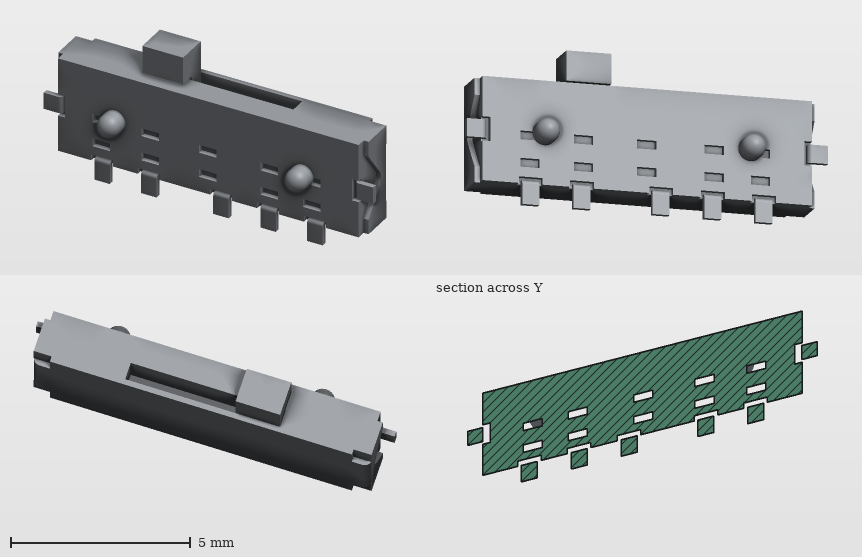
import cadquery as cq


sheet = 0.16
cover_back = 1.45
cover_width = 9.89
body_width = cover_width - 2 * sheet
body_depth = cover_back - sheet
body_height = 3.0
mid_z = 1.49
cover_bend_radius = 0.22
bend_height = 1.84
relief_width = 0.52
flap_setback = 0.28
notch_half_height = 1.03
notch_depth = 0.8
notch_tip_radius = 0.32

slot_length = 4.54
slot_width = 0.5
slot_depth = 1.0
knob_width = 1.3
knob_height = 1.0
knob_clearance = 0.13

peg_diameter = 0.7
peg_spacing = 5.98
peg_length = 0.65

terminal_centers = (-3.39, -1.9, 0.4, 1.9, 3.39)
terminal_width = 0.49
terminal_length = 0.6
terminal_bend = 0.1
lug_span = 10.5
lug_bend = 0.13
lug_width = 0.52
recess_width = 0.69
recess_height = 0.19
lug_recess_length = 0.22

window_centers = (-3.41, -1.86, -0.02, 1.94, 3.29)
window_levels = (0.6, 1.39)
window_width = 0.56
window_height = 0.25
window_depth = 0.16


def block(x_range, y_range, z_range):
    """Box spanning the given (low, high) ranges."""
    (x0, x1), (y0, y1), (z0, z1) = x_range, y_range, z_range
    return cq.Workplane("XY").box(x1 - x0, y1 - y0, z1 - z0, centered=False).translate((x0, y0, z0))


def around(center, size):
    """Range of the given size centred on a position."""
    return (center - size / 2, center + size / 2)


def mirrored(solid):
    """A solid on one side together with its mirror image in X."""
    return solid.union(solid.mirror("YZ"))


def make_body():
    """Body with the actuator slot, contact windows and recesses."""
    body = block(around(0, body_width), (0, body_depth), (0, body_height))
    slot = block(
        around(0, slot_length),
        (body_depth - slot_width, body_depth),
        (body_height - slot_depth, body_height),
    )
    body = body.cut(slot)
    for x in window_centers:
        for z in window_levels:
            body = body.cut(block(around(x, window_width), (0, window_depth), around(z, window_height)))
    for x in terminal_centers:
        body = body.cut(block(around(x, recess_width), (0, sheet), (0, recess_height)))
    lug_recess = block(
        (body_width / 2 - lug_recess_length, body_width / 2),
        (0, sheet),
        around(mid_z, recess_width),
    )
    return body.cut(mirrored(lug_recess))


def make_cover():
    """Sheet cover over the back and both ends of the body."""
    half_width = cover_width / 2
    half_body = body_width / 2
    shell = block(around(0, cover_width), (flap_setback, cover_back), (0, body_height))
    shell = shell.cut(block(around(0, body_width), (0, body_depth), (0, body_height)))

    bend_low, bend_high = around(mid_z, bend_height)
    for z_range in ((0, bend_low), (bend_high, body_height)):
        relief = block((half_width - relief_width, half_width), (body_depth, cover_back), z_range)
        shell = shell.cut(mirrored(relief))

    bend_corner = block(
        (half_width - cover_bend_radius, half_width),
        (cover_back - cover_bend_radius, cover_back),
        (bend_low, bend_high),
    )
    bend_axis = (half_width - cover_bend_radius, cover_back - cover_bend_radius, bend_low)
    bend = cq.Workplane("XY", origin=bend_axis).circle(cover_bend_radius).extrude(bend_height)
    shell = shell.cut(mirrored(bend_corner.cut(bend)))

    notch = (
        cq.Workplane("YZ", origin=(half_body, 0, 0))
        .moveTo(flap_setback, mid_z - notch_half_height)
        .lineTo(flap_setback + notch_depth, mid_z)
        .lineTo(flap_setback, mid_z + notch_half_height)
        .close()
        .extrude(sheet)
        .edges("|X and >Y")
        .fillet(notch_tip_radius)
    )
    return shell.cut(mirrored(notch))


def make_knob():
    """Knob overhanging the body top, with its stem at the -X end of the slot."""
    knob_top = body_height + knob_height
    knob_x = (-slot_length / 2, -slot_length / 2 + knob_width)
    head = block(knob_x, (flap_setback, body_depth), (body_height + knob_clearance, knob_top))
    stem = block(knob_x, (body_depth - slot_width, body_depth), (body_height - slot_depth, knob_top))
    return head.union(stem)


def make_peg():
    """Round-ended peg on the +X side."""
    radius = peg_diameter / 2
    shank_end = radius - peg_length
    peg = (
        cq.Workplane("XY")
        .lineTo(radius, 0)
        .lineTo(radius, shank_end)
        .radiusArc((0, -peg_length), radius)
        .close()
        .revolve(360, (0, 0), (0, 1))
    )
    return peg.translate((peg_spacing / 2, 0, mid_z))


def make_tab(length, width, bend_radius):
    """Sheet tab along +X with its flat front on Y = 0 and a rounded bend at X = 0."""
    return (
        cq.Workplane("XY")
        .moveTo(0, sheet)
        .lineTo(0, bend_radius)
        .radiusArc((bend_radius, 0), -bend_radius)
        .lineTo(length, 0)
        .lineTo(length, sheet)
        .close()
        .extrude(width / 2, both=True)
    )


def make_terminal(x):
    """Terminal bent out of its recess and down past the bottom of the body."""
    tab = make_tab(terminal_length + terminal_bend, terminal_width, terminal_bend)
    return tab.rotate((0, 0, 0), (0, 1, 0), 90).translate((x, 0, terminal_bend))


def make_lug():
    """Solder lug bent out of its recess on the +X end."""
    start = body_width / 2 - lug_bend
    return make_tab(lug_span / 2 - start, lug_width, lug_bend).translate((start, 0, mid_z))


result = make_body().union(make_cover()).union(make_knob())
result = result.union(mirrored(make_peg())).union(mirrored(make_lug()))
for terminal_x in terminal_centers:
    result = result.union(make_terminal(terminal_x))